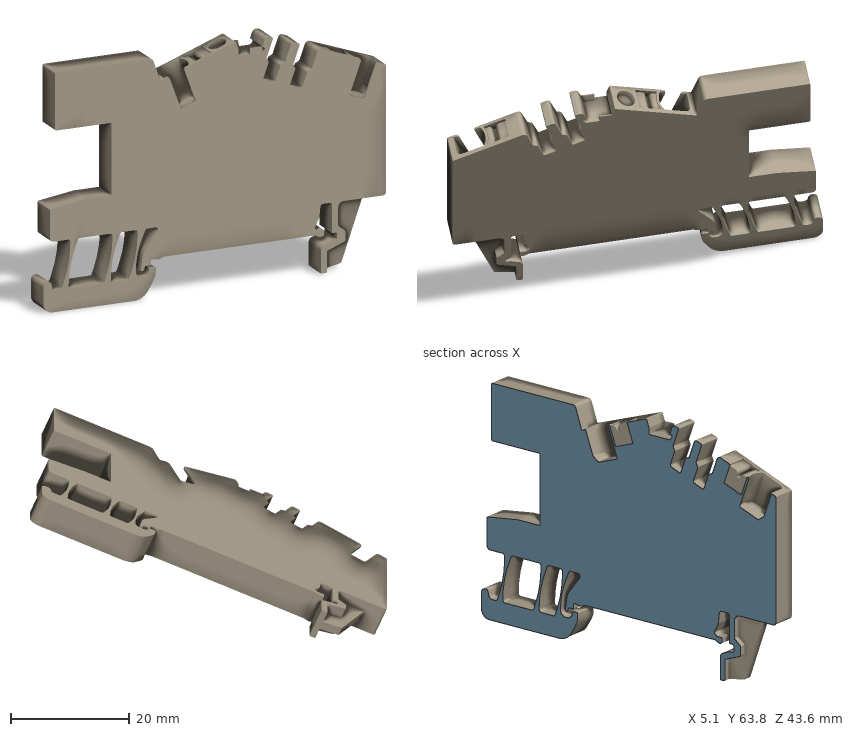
import cadquery as cq
import math


width = 5.1
half_length = 31.9
base_z = 12.55
rail_z = 7.15
slope_angle = math.radians(20)
slope_cos = math.cos(slope_angle)
slope_sin = math.sin(slope_angle)
corner_z = 35.8

slot_start = 14.0
slot_pitch = 5.3
slot_count = 2
slot_depth = 7.4
slot_width = 2.35
slot_mouth_step = 0.65
slot_step_low = 3.05
slot_step_high = 3.7

crest_z = 43.6
marker_floor_z = 40.95
marker_top_z = 42.1
marker_plus_y = 8.85
marker_mid_y = 6.6
marker_minus_y = 4.45
lip_top = 0.2
lip_foot = 0.65

foot_top_z = 3.8
strut_tops = (-12.8, -17.5, -25.3)
strut_thickness = 1.5
strut_mid_z = 8.15
strut_bend = 19.1
first_strut_bend = 14.0
strut_lead_shift = 1.85
strut_trail_shift = 1.65
strut_trail_knee = 0.1

web_thickness = 1.4

entry_start = 1.1
entry_shoulder = 5.9
entry_end = 6.5
entry_x = (0.75, 4.7)
entry_corner = 0.95
entry_depth = 6.0
entry_bevel = (0.8, 1.2)
notch_start = 1.9
notch_end = 4.85
notch_depth = 6.7
notch_round = 0.45
notch_lip = 0.65
notch_lip_round = 0.6
notch_clearance = 0.65
window_start = 6.65
window_end = 10.5
window_x = (0.75, 4.6)
window_depth = 3.8
collar_end = 6.95
clamp_gap = 0.25
clamp_sink = 0.25
clamp_valley = 1.3
clamp_round = 0.65

mirror_y = 10.8
mirror_rise = 2.75

socket_position = 12.6
socket_radius = 1.65
socket_floor_radius = 1.4
socket_depth = 1.0


def rounded_outline(plane, corners):
    """Closed outline through (a, b, radius) corners, each rounded by its own radius."""
    pieces = []
    for i, (a, b, radius) in enumerate(corners):
        corner = cq.Vector(a, b)
        before = (cq.Vector(*corners[i - 1][:2]) - corner).normalized()
        after = (cq.Vector(*corners[(i + 1) % len(corners)][:2]) - corner).normalized()
        if radius == 0:
            pieces.append((corner,))
            continue
        half_angle = before.getAngle(after) / 2
        setback = radius / math.tan(half_angle)
        to_middle = radius / math.sin(half_angle) - radius
        middle = corner + (before + after).normalized() * to_middle
        pieces.append((corner + before * setback, middle, corner + after * setback))
    sketch = cq.Workplane(plane).moveTo(pieces[0][-1].x, pieces[0][-1].y)
    for piece in pieces[1:] + pieces[:1]:
        sketch = sketch.lineTo(piece[0].x, piece[0].y)
        if len(piece) == 3:
            sketch = sketch.threePointArc(piece[1].toTuple()[:2], piece[2].toTuple()[:2])
    return sketch.close()


def slope_point(along, depth):
    """(Y, Z) of a point given along the +Y sloped face and below it."""
    return (
        half_length - along * slope_cos - depth * slope_sin,
        corner_z + along * slope_sin - depth * slope_cos,
    )


def slope_plane():
    """Plane of the +Y sloped face: local x runs up the slope, local y along X."""
    return cq.Plane((0, half_length, corner_z), (0, -slope_cos, slope_sin), (0, slope_sin, slope_cos))


def slope_side(corners, x_start, x_end):
    """Prism along X of a side profile given as (along, height over the slope, radius)."""
    plane = cq.Plane((x_start, half_length, corner_z), (0, -slope_cos, slope_sin), (-1, 0, 0))
    return rounded_outline(plane, corners).extrude(x_start - x_end)


def at_minus_y(shape):
    """The matching shape at the -Y terminal."""
    return shape.mirror("XZ").translate((0, 2 * mirror_y, mirror_rise))


def slot_corners(index):
    """Corners of one bridge slot, from its outer mouth to its inner mouth."""
    start = slot_start + index * slot_pitch
    mouth_round = 0.75 if index == 0 else 0.5
    profile = [
        (-slot_mouth_step, slot_depth, mouth_round),
        (-slot_mouth_step, slot_step_high, 0.2),
        (0, slot_step_low, 0.2),
        (0, 0, 0.25),
        (slot_width, 0, 0.4),
        (slot_width, slot_step_low, 0.2),
        (slot_width + slot_mouth_step, slot_step_high, 0.2),
        (slot_width + slot_mouth_step, slot_depth, 0.25),
    ]
    return [(*slope_point(start + u, slot_depth - height), r) for u, height, r in profile]


def strut_lead(top_y):
    """+Y side of a strut, from the base down to the foot."""
    low_y = top_y - strut_lead_shift
    return [(top_y, base_z, 0.4), (low_y, strut_mid_z, strut_bend), (low_y, foot_top_z, 0.45)]


def strut_trail(top_y):
    """-Y side of a strut, from the foot up to the base."""
    edge_y = top_y - strut_thickness
    return [
        (edge_y - strut_trail_shift, foot_top_z, 0.45),
        (edge_y - strut_trail_knee, strut_mid_z, strut_bend),
        (edge_y, base_z, 0.45),
    ]


top_corners = [
    (half_length, base_z, 0.6),
    (half_length, corner_z, 0.25),
    *[corner for index in range(slot_count) for corner in slot_corners(index)],
    (10.15, crest_z, 0.25),
    (9.45, crest_z, 0.7),
    (marker_plus_y, marker_top_z, 0),
    (9.3, 41.7, 0),
    (9.3, 41.4, 0),
    (marker_plus_y, marker_floor_z, 0),
    (marker_minus_y, marker_floor_z, 0),
    (marker_minus_y, marker_top_z, 0),
    (3.9, crest_z, 0.1),
    (-10.15, 38.5, 0.2),
    (-11.55, 42.65, 0.75),
    (-29.7, 42.65, 0.3),
    (-29.7, 32.25, 0.3),
    (-19.2, 32.25, 0),
    (-19.2, 19.4, 0),
    (-23.9, 19.4, 0),
    (-30.7, 18.4, 0.25),
    (-30.7, base_z, 0.7),
]

foot_corners = [
    *reversed(strut_trail(strut_tops[-1])),
    (-30.05, foot_top_z, 0.65),
    (-30.5, 5.4, 0.5),
    (-half_length, 5.4, 0.8),
    (-half_length, 0, 1.7),
    (-13.25, 0, 3.2),
    (-11.0, 3.8, 3.2),
    (-11.0, 5.55, 0.25),
    (-12.25, 5.55, 0),
    (-12.25, 4.15, 1.0),
    (strut_tops[0] - strut_lead_shift, 4.15, 1.0),
    (strut_tops[0] - strut_lead_shift, strut_mid_z, first_strut_bend),
    (strut_tops[0], base_z, 0.4),
    (-10.1, base_z, 0.45),
    (-13.3, 8.35, 3.2),
    (-13.8, 5.15, 0),
    (-13.2, 5.15, 0),
    (-12.95, 5.9, 0),
    (-11.85, 5.9, 0),
    (-11.85, 7.0, 0.1),
    (-10.4, 6.75, 0.2),
    (-9.5, rail_z, 0),
]

arm_back = [
    (20.85, 0.25, 0),
    (20.85, 4.1, 0.2),
    (24.3, 5.4, 0.3),
    (24.3, 7.2, 0.2),
    (22.95, 8.3, 0.2),
    (22.95, base_z, 0.95),
]

latch_corners = [
    (18.7, rail_z, 0),
    (19.65, 6.7, 0.2),
    (20.3, 6.9, 0),
    (20.3, 7.9, 0),
    (19.1, 7.9, 0.25),
    (18.55, 8.4, 0.2),
    (19.45, 10.2, 1.3),
    (19.7, base_z, 0.45),
    (21.8, base_z, 0.45),
    (21.8, rail_z, 0),
    (22.75, rail_z, 0.25),
    (22.75, 5.8, 0.25),
    (21.95, 5.8, 0.3),
    (19.8, 4.9, 0.95),
    (19.8, 0.2, 0),
    *arm_back,
]

web_corners = [
    *arm_back[:-1],
    (22.95, base_z, 0),
    (28.7, base_z, 0),
    (28.25, 12.0, 0.2),
    (24.35, 0.95, 0.4),
]


def strut_window(near_top, far_top):
    """Opening between two neighbouring struts."""
    corners = strut_trail(near_top) + strut_lead(far_top)
    return rounded_outline("YZ", corners).extrude(width)


def marker_lips():
    """Sloped retaining lips, one on each side, each along half of the marker recess."""
    height = marker_top_z - marker_floor_z
    profile = [(0, 0), (lip_foot, 0), (lip_top, height), (0, height)]
    plane = cq.Plane((0, marker_mid_y, marker_floor_z), (1, 0, 0), (0, -1, 0))
    minus_x_lip = cq.Workplane(plane).polyline(profile).close().extrude(marker_mid_y - marker_minus_y)
    mirrored = [(width - x, z) for x, z in profile]
    plus_x_lip = cq.Workplane(plane).polyline(mirrored).close().extrude(marker_mid_y - marker_plus_y)
    return minus_x_lip.union(plus_x_lip)


def arched_prism(start, shoulder, end, x_low, x_high, depth):
    """Prism sunk below the slope with a square outer end and an arched inner end."""
    return (
        cq.Workplane(slope_plane())
        .moveTo(shoulder, x_low)
        .lineTo(start, x_low)
        .lineTo(start, x_high)
        .lineTo(shoulder, x_high)
        .threePointArc((end, (x_low + x_high) / 2), (shoulder, x_low))
        .close()
        .extrude(-depth)
    )


def wire_entry():
    """Wire funnel with a bevelled floor, open to +X through a side notch."""
    funnel = arched_prism(entry_start, entry_shoulder, entry_end, *entry_x, entry_depth)
    rounding = rounded_outline(
        slope_plane(),
        [
            (entry_start, entry_x[0], entry_corner),
            (entry_end, entry_x[0], 0),
            (entry_end, entry_x[1], 0),
            (entry_start, entry_x[1], 0),
        ],
    ).extrude(-entry_depth)
    bevel_along, bevel_height = entry_bevel
    bevel = slope_side(
        [
            (entry_start, -entry_depth, 0),
            (entry_start + bevel_along, -entry_depth, 0),
            (entry_start, bevel_height - entry_depth, 0),
        ],
        0,
        width,
    )
    return funnel.intersect(rounding).cut(bevel)


def side_notch():
    """Notch with a rounded floor through the +X wall of the wire entry."""
    corners = [
        (notch_start - notch_lip, notch_clearance, 0),
        (notch_start - notch_lip, 0, 0),
        (notch_start, 0, notch_lip_round),
        (notch_start, -notch_depth, notch_round),
        (notch_end, -notch_depth, notch_round),
        (notch_end, 0, notch_lip_round),
        (notch_end + notch_lip, 0, 0),
        (notch_end + notch_lip, notch_clearance, 0),
    ]
    return slope_side(corners, entry_x[1], width)


def clamp_window():
    """Rectangular window beside the wire entry, with the entry's round collar bulging in."""
    length = window_end - window_start
    opening = (
        cq.Workplane(slope_plane())
        .center(window_start + length / 2, sum(window_x) / 2)
        .rect(length, window_x[1] - window_x[0])
        .extrude(-window_depth)
    )
    wall = collar_end - entry_end
    collar = arched_prism(entry_start, entry_shoulder + wall, collar_end, *entry_x, window_depth)
    return opening.cut(collar)


def test_socket():
    """Shallow conical socket."""
    taper = math.degrees(math.atan((socket_radius - socket_floor_radius) / socket_depth))
    return (
        cq.Workplane(slope_plane())
        .center(socket_position, width / 2)
        .circle(socket_radius)
        .extrude(-socket_depth, taper=taper)
    )


def make_housing():
    body = rounded_outline("YZ", top_corners + foot_corners + latch_corners).extrude(width)
    for near_top, far_top in zip(strut_tops, strut_tops[1:]):
        body = body.cut(strut_window(near_top, far_top))
    web = rounded_outline("YZ", web_corners).extrude(web_thickness)
    body = body.union(web.translate(((width - web_thickness) / 2, 0, 0)))
    body = body.union(marker_lips())
    for recess in (wire_entry(), side_notch(), clamp_window()):
        body = body.cut(recess).cut(at_minus_y(recess))
    return body.cut(at_minus_y(test_socket()))


def make_clamp():
    """Spring clamp filling the window, with a groove across its top."""
    profile = [
        (window_start, -window_depth, 0),
        (window_start, -clamp_sink, 0),
        (7.7, -clamp_sink, clamp_round),
        (7.9, -clamp_valley, 0),
        (8.55, -clamp_valley, 0),
        (8.55, -clamp_sink, clamp_round),
        (window_end, -clamp_sink, 0),
        (window_end, -window_depth, 0),
    ]
    return slope_side(profile, window_x[0], window_x[1] - clamp_gap).intersect(clamp_window())


housing = make_housing()
plus_y_clamp = make_clamp()
clamps = [plus_y_clamp, at_minus_y(plus_y_clamp)]

result = cq.Compound.makeCompound([housing.val(), *[clamp.val() for clamp in clamps]])